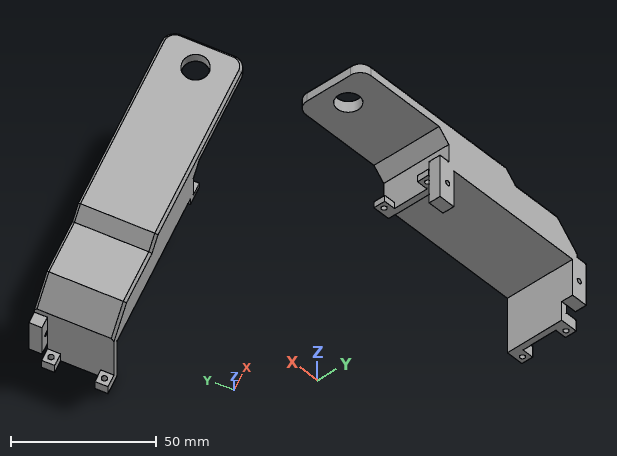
import cadquery as cq

length = 116.0
width = 30.0
height = 45.5

lug = 5.0
wall = 2.5
arm_thickness = 5.0
edge_chamfer = 1.0
corner_radius = 5.0

front_x = lug
slope_rise = 10.0
step_start_x = 36.2
body_end_x = 71.1
gusset = 5.0
arch_z = 25.0
arm_bottom_z = height - arm_thickness
shelf_z = arm_bottom_z

wall_width = width - lug
front_lug_height = 5.1
rear_lug_bottom_z = 21.0
rear_lug_height = 2.8
ear_bottom_z = 8.6
ear_top_z = 27.6
ear_setback = 0.5
ear_hole_z = 17.4
ear_hole_x_front = 4.1
ear_hole_x_rear = 71.7
screw_hole_diameter = 2.1

arm_hole_diameter = 10.0
arm_hole_end_distance = 10.0
arm_hole_x = length - arm_hole_end_distance


def box(x_range, y_range, z_range):
    """Box spanning the given X, Y and Z ranges."""
    size = [high - low for low, high in (x_range, y_range, z_range)]
    corner = (x_range[0], y_range[0], z_range[0])
    return cq.Workplane("XY").box(*size, centered=False).translate(corner)


def make_body():
    """Stepped body and arm, with rounded arm corners and bevelled top edges."""
    body = (
        cq.Workplane("XZ")
        .moveTo(front_x, arch_z)
        .lineTo(front_x, shelf_z - slope_rise)
        .lineTo(front_x + slope_rise, shelf_z)
        .lineTo(step_start_x, shelf_z)
        .lineTo(step_start_x + arm_thickness, height)
        .lineTo(length, height)
        .lineTo(length, arm_bottom_z)
        .lineTo(body_end_x + gusset, arm_bottom_z)
        .lineTo(body_end_x, arm_bottom_z - gusset)
        .lineTo(body_end_x, arch_z)
        .close()
        .extrude(-width)
    )
    body = body.faces(">X").edges("|Z").fillet(corner_radius)

    upper_faces = [face for face in body.faces().vals()
                   if face.geomType() == "PLANE"
                   and face.normalAt().z > 0]
    crease_edges = body.edges("|Y").vals()
    border = [edge for face in upper_faces for edge in face.Edges()
              if not any(edge.isSame(crease) for crease in crease_edges)]
    arm_end = body.faces(">Z").edges(">X").vals()
    return body.newObject(border + arm_end).chamfer(edge_chamfer)


def make_lugs(x_start, z_bottom, thickness):
    """Pair of square lugs at the two sides of a wall, with vertical screw holes."""
    lugs = cq.Workplane("XY")
    for y_start in (0, wall_width - lug):
        block = box((x_start, x_start + lug), (y_start, y_start + lug), (z_bottom, z_bottom + thickness))
        lugs = lugs.add(block.faces(">Z").workplane(centerOption="CenterOfMass").hole(screw_hole_diameter))
    return lugs.combine()


def make_ear(x_start, x_end, hole_x):
    """Upright ear along the +Y side, with a cross hole along Y."""
    ear = box((x_start, x_end), (wall_width, width), (ear_bottom_z, ear_top_z))
    drill = (
        cq.Workplane("XZ")
        .center(hole_x, ear_hole_z)
        .circle(screw_hole_diameter / 2)
        .extrude(-lug)
        .translate((0, wall_width, 0))
    )
    return ear.cut(drill)


front_wall = box((front_x, front_x + wall), (0, wall_width), (0, arch_z))
rear_wall = box((body_end_x - wall, body_end_x), (0, wall_width), (rear_lug_bottom_z, arch_z))
front_ear = make_ear(ear_setback, front_x + wall, ear_hole_x_front)
rear_ear = make_ear(body_end_x - wall, body_end_x + lug - ear_setback, ear_hole_x_rear)

arm_hole = (
    cq.Workplane("XY", origin=(arm_hole_x, width / 2, arm_bottom_z))
    .circle(arm_hole_diameter / 2)
    .extrude(arm_thickness)
)

result = (
    make_body()
    .union(front_wall)
    .union(rear_wall)
    .union(make_lugs(0, 0, front_lug_height))
    .union(make_lugs(body_end_x, rear_lug_bottom_z, rear_lug_height))
    .union(front_ear)
    .union(rear_ear)
    .cut(arm_hole)
)